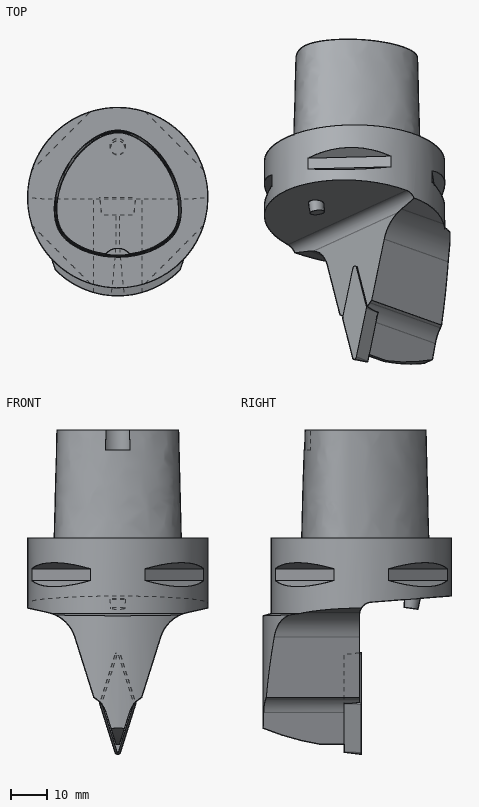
import cadquery as cq
import math


overall_length = 90.0

shank_height = 30.0
shank_radius = 17.6
lobe_height = 1.1
shank_taper = 1 / 40
shank_points = 48

notch_radius = 4.2
notch_center_y = -18.3
notch_depth = 5.6

flange_radius = 25.0
groove_floor = 22.2
groove_center_z = -10.2
groove_floor_height = 3.2
groove_mouth_height = 6.7

rear_rim_z = -16.1
rear_root_z = -18.1
rear_fillet = 3.4
blade_face_y = -0.45

flank_half_angle = math.radians(17.5)
flank_slope = math.tan(flank_half_angle)
blade_radius = 24.3
blade_front_y = -27.3
ledge_z = -21.0
ledge_slope = 0.27
side_rim_z = -19.4
underside_slope = math.tan(math.radians(12.5))
root_fillet = 9.9
shoulder_half_width = 6.7
shoulder_z = -44.2
neck_half_width = 4.0
neck_fillet = 7.2
blade_tip_z = -57.2
tip_half_width = 0.45
heel_start_y = -11.3
heel_middle_y = -17.8
heel_middle_z = -55.9
heel_end_z = -52.7

nozzle_y = 13.8
nozzle_base_diameter = 4.4
nozzle_end_diameter = 4.0
nozzle_end_z = -19.5
nozzle_length = 3.15
nozzle_tilt = math.radians(8)

insert_thickness = 4.8
insert_half_length = 14.1
insert_tip_z = shank_height - overall_length
insert_center_z = insert_tip_z + insert_half_length
insert_corner_radius = 0.8
insert_relief = 7


def lobed_outline(height):
    """Constant-width outline with three lobes, one of them pointing to +Y."""
    radius = shank_radius - shank_taper * height
    points = []
    for i in range(shank_points):
        angle = 2 * math.pi * i / shank_points
        phase = 3 * (angle - math.pi / 2)
        reach = radius + lobe_height * math.cos(phase)
        slide = -3 * lobe_height * math.sin(phase)
        points.append(cq.Vector(
            reach * math.cos(angle) - slide * math.sin(angle),
            reach * math.sin(angle) + slide * math.cos(angle),
            height,
        ))
    return cq.Wire.assembleEdges([cq.Edge.makeSpline(points, periodic=True)])


def make_shank():
    outlines = [lobed_outline(0), lobed_outline(shank_height)]
    shank = cq.Workplane(cq.Solid.makeLoft(outlines, True))
    notch = (
        cq.Workplane("XY", origin=(0, notch_center_y, shank_height))
        .circle(notch_radius)
        .extrude(-notch_depth)
    )
    return shank.cut(notch)


def make_groove(direction):
    """Cutter for one flat-bottomed groove with flared walls, facing the given angle."""
    floor_top = groove_center_z + groove_floor_height / 2
    floor_bottom = groove_center_z - groove_floor_height / 2
    mouth_top = groove_center_z + groove_mouth_height / 2
    mouth_bottom = groove_center_z - groove_mouth_height / 2
    return (
        cq.Workplane("XZ")
        .polyline([
            (groove_floor, floor_bottom),
            (flange_radius, mouth_bottom),
            (flange_radius, mouth_top),
            (groove_floor, floor_top),
        ])
        .close()
        .extrude(flange_radius, both=True)
        .rotate((0, 0, 0), (0, 0, 1), direction)
    )


def make_front_prism():
    """Flange, root, shoulder and tip as seen along Y."""
    root_x = (
        (side_rim_z - underside_slope * flange_radius - shoulder_z
         + shoulder_half_width / flank_slope)
        / (1 / flank_slope - underside_slope)
    )
    root_z = side_rim_z - underside_slope * (flange_radius - root_x)
    neck_z = blade_tip_z + (neck_half_width - tip_half_width) / flank_slope
    right_side = [
        (flange_radius, 0),
        (flange_radius, side_rim_z),
        (root_x, root_z),
        (shoulder_half_width, shoulder_z),
        (neck_half_width, neck_z),
        (tip_half_width, blade_tip_z),
    ]
    left_side = [(-x, z) for x, z in reversed(right_side)]
    prism = (
        cq.Workplane("XZ")
        .polyline(right_side + left_side)
        .close()
        .extrude(2 * flange_radius, both=True)
    )
    for x, z, radius in [(root_x, root_z, root_fillet), (neck_half_width, neck_z, neck_fillet)]:
        for side in (-1, 1):
            prism = prism.edges(cq.selectors.NearestToPointSelector((side * x, 0, z))).fillet(radius)
    return prism


def make_side_prism():
    """Sloped flange underside, blade face and curved heel as seen along X."""
    return (
        cq.Workplane("YZ")
        .moveTo(flange_radius, 0)
        .lineTo(flange_radius, rear_rim_z)
        .lineTo(blade_face_y, rear_root_z)
        .lineTo(blade_face_y, blade_tip_z)
        .lineTo(heel_start_y, blade_tip_z)
        .threePointArc((heel_middle_y, heel_middle_z), (blade_front_y, heel_end_z))
        .lineTo(blade_front_y, 0)
        .close()
        .extrude(flange_radius, both=True)
        .edges(cq.selectors.NearestToPointSelector((0, blade_face_y, rear_root_z)))
        .fillet(rear_fillet)
    )


def make_nozzle():
    axis = cq.Vector(0, math.sin(nozzle_tilt), math.cos(nozzle_tilt))
    end = cq.Vector(0, nozzle_y, nozzle_end_z)
    return cq.Workplane(cq.Solid.makeCone(
        nozzle_end_diameter / 2, nozzle_base_diameter / 2, nozzle_length, end, axis,
    ))


def make_insert():
    tip_pullback = insert_corner_radius * (1 / math.sin(flank_half_angle) - 1)
    sharp_half_length = insert_half_length + tip_pullback
    half_width = sharp_half_length * flank_slope
    outline = (
        cq.Sketch()
        .polygon([
            (0, -sharp_half_length),
            (half_width, 0),
            (0, sharp_half_length),
            (-half_width, 0),
            (0, -sharp_half_length),
        ])
        .vertices()
        .fillet(insert_corner_radius)
    )
    return (
        cq.Workplane("XZ", origin=(0, 0, insert_center_z))
        .placeSketch(outline)
        .extrude(insert_thickness, taper=insert_relief)
    )


def make_holder(insert):
    flange = cq.Workplane("XY").circle(flange_radius).extrude(ledge_z)
    blade_center_y = blade_front_y + blade_radius
    blade = (
        cq.Workplane("XY", origin=(0, blade_center_y, ledge_z))
        .circle(blade_radius)
        .extrude(blade_tip_z - ledge_z)
    )
    blade_length = ledge_z - blade_tip_z
    ledge_cone = cq.Workplane(cq.Solid.makeCone(
        flange_radius, flange_radius + blade_length / ledge_slope, blade_length,
        cq.Vector(0, 0, ledge_z), cq.Vector(0, 0, -1),
    ))
    blade = blade.intersect(ledge_cone)
    holder = flange.union(blade).intersect(make_front_prism()).intersect(make_side_prism())
    for direction in (45, 135, 225, 315):
        holder = holder.cut(make_groove(direction))
    holder = holder.union(make_nozzle()).union(make_shank())

    seat_opening = cq.Workplane("XY").box(
        2 * flange_radius, insert_thickness, insert_half_length, centered=(True, False, False)
    ).translate((0, -insert_thickness, insert_tip_z))
    return holder.cut(seat_opening).cut(insert)


insert = make_insert()
holder = make_holder(insert)
result = cq.Compound.makeCompound([holder.val(), insert.val()])